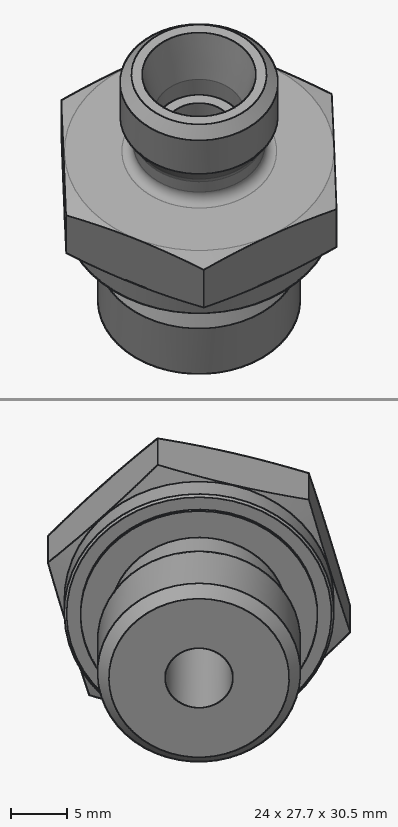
import cadquery as cq
import math

total_height = 30.5
flange_bottom_z = 12.0
hex_bottom_z = 14.52
hex_top_z = 20.5

hex_across_flats = 24.0
hex_bevel_angle = 15.0
hex_bevel_diameter = 23.9

flange_diameter = 23.9
flange_chamfer = 0.2

stud_diameter = 18.0
stud_chamfer = 1.0
stud_neck_diameter = 15.7
stud_shoulder_z = 6.98

tip_diameter = 14.0
tip_chamfer = 1.0
tip_length = 5.4
tip_neck_diameter = 11.7
base_fillet = 1.0

taper_angle = 30.0
taper_fillet = 1.0

bore_diameter = 6.0
socket_diameter = 8.0
socket_mouth_diameter = 10.1
socket_cone_angle = 12.0
socket_depth = 7.0

seal_diameter = 21.0
seal_projection = 0.3
seal_groove_depth = 1.2


def taper_height(large_diameter, small_diameter, angle):
    """Axial length of a cone whose side makes the given angle with its axis."""
    return (large_diameter - small_diameter) / 2 / math.tan(math.radians(angle))


def cylinder(diameter, bottom_z, top_z):
    return cq.Workplane("XY").workplane(offset=bottom_z).circle(diameter / 2).extrude(top_z - bottom_z)


def cone(bottom_diameter, top_diameter, bottom_z, top_z):
    return cq.Workplane(
        cq.Solid.makeCone(bottom_diameter / 2, top_diameter / 2, top_z - bottom_z, cq.Vector(0, 0, bottom_z))
    )


def fillet_circle(body, diameter, z, radius):
    """Round the circular edge with this diameter at this height."""
    half_size = diameter / 2 + 0.03
    half_band = 0.003
    edge = cq.selectors.BoxSelector(
        (-half_size, -half_size, z - half_band), (half_size, half_size, z + half_band), boundingbox=True
    )
    return body.edges(edge).fillet(radius)


def make_hexagon():
    """Hexagon with corners on Y, bevelled round both ends."""
    across_corners = hex_across_flats / math.cos(math.radians(30))
    prism = (
        cq.Workplane("XY")
        .workplane(offset=hex_bottom_z)
        .polygon(6, across_corners)
        .extrude(hex_top_z - hex_bottom_z)
        .rotate((0, 0, 0), (0, 0, 1), 30)
    )
    bevel_slope = math.tan(math.radians(hex_bevel_angle))
    middle_z = (hex_bottom_z + hex_top_z) / 2
    half_height = (hex_top_z - hex_bottom_z) / 2
    end_radius = hex_bevel_diameter / 2
    widest_radius = end_radius + half_height / bevel_slope
    bevel_envelope = (
        cq.Workplane("XZ")
        .moveTo(0, hex_bottom_z)
        .lineTo(end_radius, hex_bottom_z)
        .lineTo(widest_radius, middle_z)
        .lineTo(end_radius, hex_top_z)
        .lineTo(0, hex_top_z)
        .close()
        .revolve()
    )
    return prism.intersect(bevel_envelope)


def make_stud():
    """Lower thread with its end chamfer, taper and neck."""
    taper_top_z = stud_shoulder_z + taper_height(stud_diameter, stud_neck_diameter, taper_angle)
    thread = cylinder(stud_diameter, 0, stud_shoulder_z).faces("<Z").chamfer(stud_chamfer)
    taper = cone(stud_diameter, stud_neck_diameter, stud_shoulder_z, taper_top_z)
    neck = cylinder(stud_neck_diameter, taper_top_z, hex_bottom_z)
    stud = thread.union(taper).union(neck)
    return fillet_circle(stud, stud_neck_diameter, taper_top_z, taper_fillet)


def make_tip():
    """Upper thread with its end chamfer, taper and neck."""
    shoulder_z = total_height - tip_length
    taper_bottom_z = shoulder_z - taper_height(tip_diameter, tip_neck_diameter, taper_angle)
    thread = cylinder(tip_diameter, shoulder_z, total_height).faces(">Z").chamfer(tip_chamfer)
    taper = cone(tip_neck_diameter, tip_diameter, taper_bottom_z, shoulder_z)
    neck = cylinder(tip_neck_diameter, hex_top_z, taper_bottom_z)
    tip = neck.union(taper).union(thread)
    return fillet_circle(tip, tip_neck_diameter, taper_bottom_z, taper_fillet)


def make_bore():
    """Through bore with a tube socket that opens conically at the top."""
    cone_depth = taper_height(socket_mouth_diameter, socket_diameter, socket_cone_angle)
    cone_bottom_z = total_height - cone_depth
    bore = cylinder(bore_diameter, 0, total_height)
    socket = cylinder(socket_diameter, total_height - socket_depth, cone_bottom_z)
    mouth = cone(socket_diameter, socket_mouth_diameter, cone_bottom_z, total_height)
    return bore.union(socket).union(mouth)


def make_seal():
    """Flat ring round the stud neck that fills the groove and stands proud of the flange."""
    bottom_z = flange_bottom_z - seal_projection
    top_z = flange_bottom_z + seal_groove_depth
    return cylinder(seal_diameter, bottom_z, top_z).cut(cylinder(stud_neck_diameter, bottom_z, top_z))


def make_fitting(seal):
    flange = cylinder(flange_diameter, flange_bottom_z, hex_bottom_z).faces("<Z").chamfer(flange_chamfer)
    body = make_hexagon().union(flange).union(make_tip())
    body = fillet_circle(body, tip_neck_diameter, hex_top_z, base_fillet)
    return body.union(make_stud()).cut(make_bore()).cut(seal)


seal_ring = make_seal()
fitting = make_fitting(seal_ring)

result = cq.Compound.makeCompound([fitting.val(), seal_ring.val()])